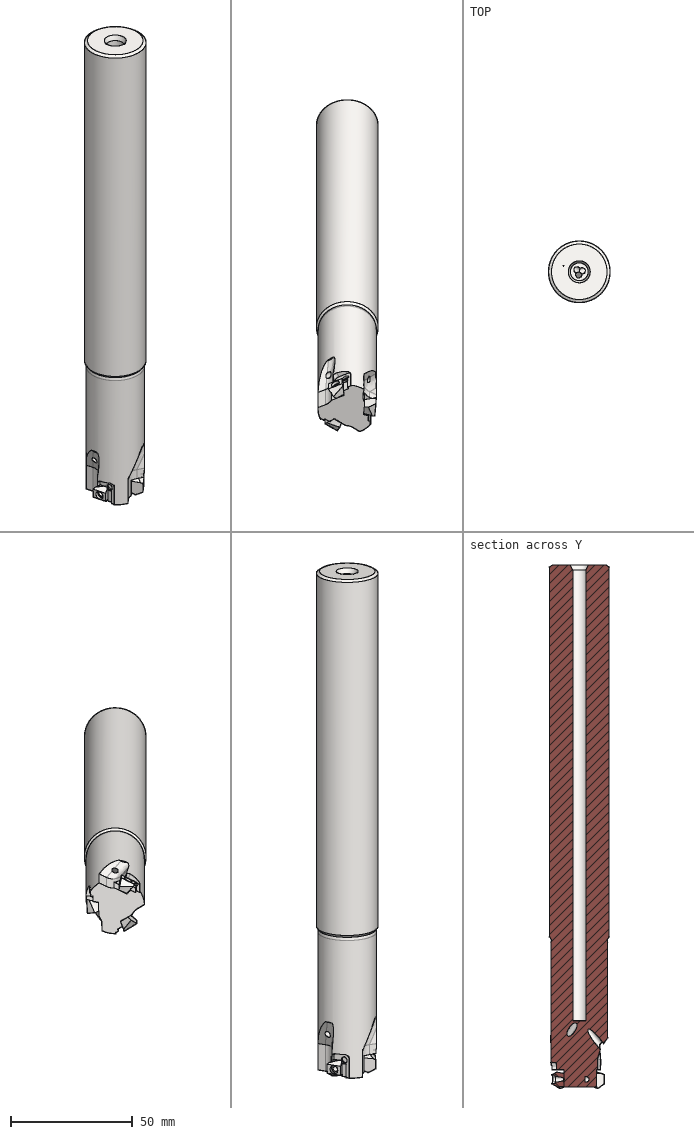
import cadquery as cq
import math

total_height = 214.7
shank_radius = 12.7
neck_radius = 12.0
shank_bottom = 62.3
undercut_radius = 11.8
undercut_height = 61.2
neck_top = 60.0
end_face = 0.6
top_bevel_width = 1.3
top_bevel_height = 0.9

bore_radius = 3.6
bore_mouth_radius = 4.5
bore_mouth_depth = 2.1
bore_bottom = 28.0
branch_radius = 1.3
branch_exit = cq.Vector(-2.0, -9.9, 17.0)
branch_start_height = 29.0

tooth_count = 3
tooth_pitch = 360.0 / tooth_count

flute_root = (-1.7, -6.7)
flute_root_radius = 5.4
flute_floor_angle = 197.0
flute_wall_angle = -49.0
flute_side_length = 17.2
flute_bend_height = 12.0
flute_top = 23.8
flute_runout = (5.2, -4.0)

insert_angle = -73.5
insert_half_angle = 15.0
insert_height = 7.7
insert_inner_radius = 7.0
insert_tip_radius = 8.8
insert_shoulder_radius = 11.0
insert_outer_radius = 12.0
insert_root_height = 0.6
insert_corner_low = 2.0
insert_corner_high = insert_height - insert_corner_low
insert_shoulder_height = 6.2
insert_middle = insert_height / 2
insert_hole_radius = 1.0
insert_head_radius = 1.7
insert_head_depth = 1.7
screw_hole_depth = 3.2

relief_floor = 9.9
relief_front = -0.9
relief_back = 6.2
relief_top = 11.0
relief_corner_radius = 1.7
step_floor = 9.0
step_back = 4.7
step_top = 6.5
corner_hole_radius = 1.3
corner_hole_back = 3.9
corner_hole_height = 8.2
seat_front = -6.5
outside = 17.2


def turned(shape, angle):
    return shape.rotate((0, 0, 0), (0, 0, 1), angle)


def tooth_angle(index):
    return index * tooth_pitch


def make_blank():
    """Turned blank with its profile on the -X side."""
    bevel_radius = shank_radius - top_bevel_width
    return (
        cq.Workplane("XZ")
        .moveTo(0, end_face)
        .lineTo(-neck_radius, end_face)
        .lineTo(-neck_radius, neck_top)
        .lineTo(-undercut_radius, undercut_height)
        .lineTo(-shank_radius, shank_bottom)
        .lineTo(-shank_radius, total_height - top_bevel_height)
        .lineTo(-bevel_radius, total_height)
        .lineTo(0, total_height)
        .close()
        .revolve(360, (0, 0, 0), (0, 1, 0))
    )


def make_bore():
    """Blind coolant bore from the top, with a conical mouth."""
    return (
        cq.Workplane("XZ")
        .moveTo(0, bore_bottom)
        .lineTo(bore_radius, bore_bottom)
        .lineTo(bore_radius, total_height - bore_mouth_depth)
        .lineTo(bore_mouth_radius, total_height)
        .lineTo(0, total_height)
        .close()
        .revolve(360, (0, 0, 0), (0, 1, 0))
    )


def make_coolant_branch():
    """Slanted hole from the bore into the flute."""
    start = cq.Vector(0, 0, branch_start_height)
    path = branch_exit - start
    return cq.Workplane(cq.Solid.makeCylinder(branch_radius, path.Length, start, path))


def flute_section(height, shift):
    """Closed V outline with a rounded root, at the given height."""
    floor_angle = math.radians(flute_floor_angle)
    wall_angle = math.radians(flute_wall_angle % 360)
    bisector = (floor_angle + wall_angle) / 2
    half_opening = (wall_angle - floor_angle) / 2
    root = cq.Vector(flute_root[0] + shift[0], flute_root[1] + shift[1], height)

    def from_root(angle, distance):
        return root + cq.Vector(math.cos(angle), math.sin(angle), 0) * distance

    tangent_length = flute_root_radius / math.tan(half_opening)
    root_gap = flute_root_radius / math.sin(half_opening) - flute_root_radius
    floor_end = from_root(floor_angle, flute_side_length)
    floor_start = from_root(floor_angle, tangent_length)
    wall_start = from_root(wall_angle, tangent_length)
    wall_end = from_root(wall_angle, flute_side_length)
    return cq.Wire.assembleEdges([
        cq.Edge.makeLine(floor_end, floor_start),
        cq.Edge.makeThreePointArc(floor_start, from_root(bisector, root_gap), wall_start),
        cq.Edge.makeLine(wall_start, wall_end),
        cq.Edge.makeLine(wall_end, floor_end),
    ])


def make_flute():
    """Straight flute that runs out of the neck at a slant above the bend."""
    low = flute_section(0, (0, 0))
    bend = flute_section(flute_bend_height, (0, 0))
    top = flute_section(flute_top, flute_runout)
    straight = cq.Solid.makeLoft([low, bend], True)
    runout = cq.Solid.makeLoft([bend, top], True)
    return cq.Workplane(straight).union(cq.Workplane(runout))



def radial_section(points, angle):
    """Closed outline of (radius, height) points in the half-plane at an angle about Z."""
    turn = math.radians(angle)
    return cq.Wire.makePolygon(
        [cq.Vector(r * math.cos(turn), r * math.sin(turn), z) for r, z in points], close=True
    )


def make_screw_hole(radius, start, length):
    return cq.Workplane("YZ", origin=(start, 0, insert_middle)).circle(radius).extrude(length)


def make_insert():
    """Lay-down insert whose low front tip and high back tip are half a turn apart."""
    front = [
        (insert_inner_radius, insert_root_height),
        (insert_tip_radius, 0),
        (insert_outer_radius, insert_corner_low),
        (insert_outer_radius, insert_corner_high),
        (insert_shoulder_radius, insert_shoulder_height),
        (insert_inner_radius, insert_shoulder_height),
    ]
    back = [(r, insert_height - z) for r, z in reversed(front)]
    body = cq.Workplane(cq.Solid.makeLoft(
        [radial_section(front, -insert_half_angle), radial_section(back, insert_half_angle)], True
    ))
    head_start = insert_outer_radius - insert_head_depth
    return (
        body.cut(make_screw_hole(insert_hole_radius, 0, outside))
        .cut(make_screw_hole(insert_head_radius, head_start, outside))
    )


def make_pocket():
    """Seat that holds the insert, clearance around it and the screw hole."""
    slope = math.tan(math.radians(insert_half_angle))
    seat_floor = insert_inner_radius * math.cos(math.radians(insert_half_angle))
    seat = (
        cq.Workplane("XY")
        .polyline([
            (seat_floor, seat_front),
            (seat_floor, seat_floor * slope),
            (outside, outside * slope),
            (outside, seat_front),
        ])
        .close()
        .extrude(insert_height)
    )
    relief = (
        cq.Workplane("XY", origin=(relief_floor, relief_front, 0))
        .box(outside - relief_floor, relief_back - relief_front, relief_top, centered=False)
        .edges("|X and >Z")
        .fillet(relief_corner_radius)
    )
    step = cq.Workplane("XY", origin=(step_floor, 0, 0)).box(
        outside - step_floor, step_back, step_top, centered=False
    )
    corner_hole = (
        cq.Workplane("YZ", origin=(step_floor, 0, 0))
        .center(corner_hole_back, corner_hole_height)
        .circle(corner_hole_radius)
        .extrude(outside - step_floor)
    )
    screw_hole = make_screw_hole(insert_hole_radius, seat_floor - screw_hole_depth, outside)
    return seat.union(relief).union(step).union(corner_hole).union(screw_hole)


def make_cutter_body():
    body = make_blank().cut(make_bore())
    pocket = turned(make_pocket(), insert_angle)
    for index in range(tooth_count):
        for cutter in (make_flute(), pocket, make_coolant_branch()):
            body = body.cut(turned(cutter, tooth_angle(index)))
    return body


cutter_body = make_cutter_body()
inserts = [turned(make_insert(), insert_angle + tooth_angle(index)) for index in range(tooth_count)]

result = cq.Compound.makeCompound([cutter_body.solids().val(), *[insert.solids().val() for insert in inserts]])